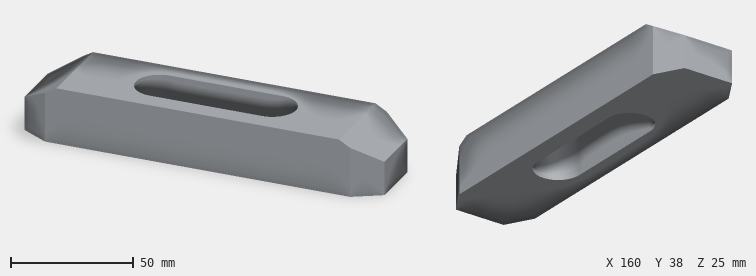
import cadquery as cq
import math

length = 160.0
width = 38.0
height = 25.0

bevel_angle = math.radians(30)
end_width = 24.0
end_height = 15.0
side_bevel_length = (width - end_width) / 2 / math.tan(bevel_angle)
top_bevel_length = (height - end_height) / math.tan(bevel_angle)

slot_length = 71.0
slot_width = 21.0


def side_profile():
    """Side outline with sloped top ends, extruded across the width."""
    half_length = length / 2
    half_top = half_length - top_bevel_length
    return (
        cq.Workplane("XZ")
        .polyline([
            (-half_length, 0),
            (half_length, 0),
            (half_length, end_height),
            (half_top, height),
            (-half_top, height),
            (-half_length, end_height),
        ])
        .close()
        .extrude(width / 2, both=True)
    )


def plan_profile():
    """Plan outline with the four corners cut, extruded through the height."""
    half_length = length / 2
    half_side = half_length - side_bevel_length
    half_width = width / 2
    half_end = end_width / 2
    return (
        cq.Workplane("XY")
        .polyline([
            (-half_length, -half_end),
            (-half_side, -half_width),
            (half_side, -half_width),
            (half_length, -half_end),
            (half_length, half_end),
            (half_side, half_width),
            (-half_side, half_width),
            (-half_length, half_end),
        ])
        .close()
        .extrude(height)
    )


def slot():
    """Round-ended slot along the length."""
    return cq.Workplane("XY").slot2D(slot_length, slot_width).extrude(height)


result = side_profile().intersect(plan_profile()).cut(slot())